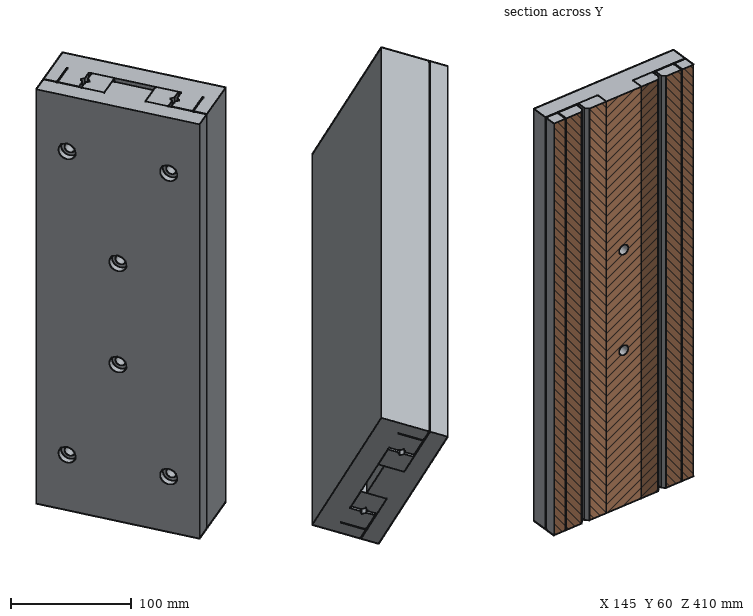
import cadquery as cq

LENGTH = 410.0
WIDTH = 145.0
HEIGHT = 60.0

BASE_THICKNESS = 16.0
JOINT_GAP = 1.0
TONGUE_WIDTH = 36.5
TONGUE_TOP = 34.0

CHANNEL_WIDTH = 82.0
CHANNEL_TOP = 39.5
SLIT_OFFSET = 60.3
SLIT_WIDTH = 1.0

RAIL_GAP = 2.5
RACEWAY_HEIGHT = 27.5
RACEWAY_REACH = 4.0

HOLE_DIAMETER = 9.0
BORE_DIAMETER = 15.0
BORE_DEPTH = 6.0
CORNER_HOLE_X = 45.0
CORNER_HOLE_Z = 150.0
CENTRE_HOLE_Z = 50.0

RAIL_OUTER_X = CHANNEL_WIDTH / 2 - RAIL_GAP
RACEWAY_X = CHANNEL_WIDTH / 2 - RAIL_GAP / 2
CARRIAGE_BOTTOM = BASE_THICKNESS + JOINT_GAP
CORNER_HOLES = [(x, z) for x in (-CORNER_HOLE_X, CORNER_HOLE_X) for z in (-CORNER_HOLE_Z, CORNER_HOLE_Z)]
CENTRE_HOLES = [(0, -CENTRE_HOLE_Z), (0, CENTRE_HOLE_Z)]


def bar(x_min, x_max, y_min, y_max):
    """Rectangular bar running the full length, centred on Z = 0."""
    return cq.Workplane("XY").box(
        x_max - x_min, y_max - y_min, LENGTH, centered=(False, False, True)
    ).translate((x_min, y_min, 0))


def centred_bar(width, y_min, y_max):
    """Full-length bar symmetric about the centre plane X = 0."""
    return bar(-width / 2, width / 2, y_min, y_max)


def raceway(side):
    """Square-section cutter standing on its corner in the gap beside one rail."""
    x = side * RACEWAY_X
    points = [
        (x - RACEWAY_REACH, RACEWAY_HEIGHT),
        (x, RACEWAY_HEIGHT - RACEWAY_REACH),
        (x + RACEWAY_REACH, RACEWAY_HEIGHT),
        (x, RACEWAY_HEIGHT + RACEWAY_REACH),
    ]
    return cq.Workplane("XY").polyline(points).close().extrude(LENGTH / 2, both=True)


def make_base():
    """Base plate with a central tongue and counterbored through holes."""
    base = centred_bar(WIDTH, 0, BASE_THICKNESS).union(centred_bar(TONGUE_WIDTH, 0, TONGUE_TOP))
    for x, z in CORNER_HOLES + CENTRE_HOLES:
        start = cq.Workplane("XZ").center(x, z)
        base = base.cut(start.circle(HOLE_DIAMETER / 2).extrude(-TONGUE_TOP))
        base = base.cut(start.circle(BORE_DIAMETER / 2).extrude(-BORE_DEPTH))
    return base


def make_carriage():
    """Carriage straddling the rails, with a raceway and a relief slit on each side."""
    carriage = centred_bar(WIDTH, CARRIAGE_BOTTOM, HEIGHT)
    carriage = carriage.cut(centred_bar(CHANNEL_WIDTH, CARRIAGE_BOTTOM, CHANNEL_TOP))
    for side in (-1, 1):
        slit = centred_bar(SLIT_WIDTH, CARRIAGE_BOTTOM, CHANNEL_TOP).translate((side * SLIT_OFFSET, 0, 0))
        carriage = carriage.cut(slit).cut(raceway(side))
    return carriage


def make_rail(side):
    """Rail standing on the base beside the tongue, notched on its outer face."""
    inner_x, outer_x = sorted((side * TONGUE_WIDTH / 2, side * RAIL_OUTER_X))
    return bar(inner_x, outer_x, BASE_THICKNESS, CHANNEL_TOP).cut(raceway(side))


base = make_base()
carriage = make_carriage()
rails = [make_rail(side) for side in (-1, 1)]

result = cq.Compound.makeCompound([base.val(), carriage.val(), *[rail.val() for rail in rails]])